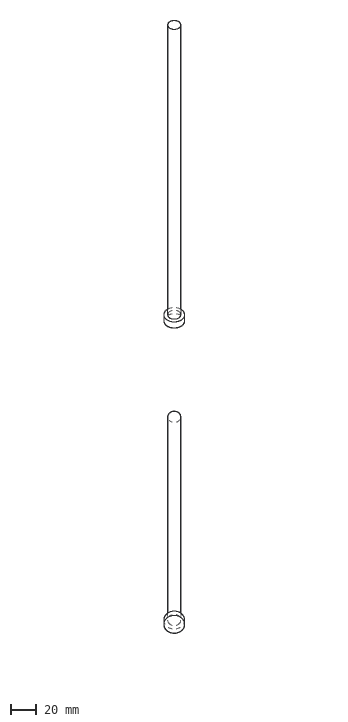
import cadquery as cq

total_length = 315.0
head_diameter = 16.0
head_height = 6.5
shank_diameter = 10.0

shank_length = total_length - head_height

head = cq.Workplane("XY").circle(head_diameter / 2).extrude(head_height)

result = head.faces(">Z").workplane().circle(shank_diameter / 2).extrude(shank_length)